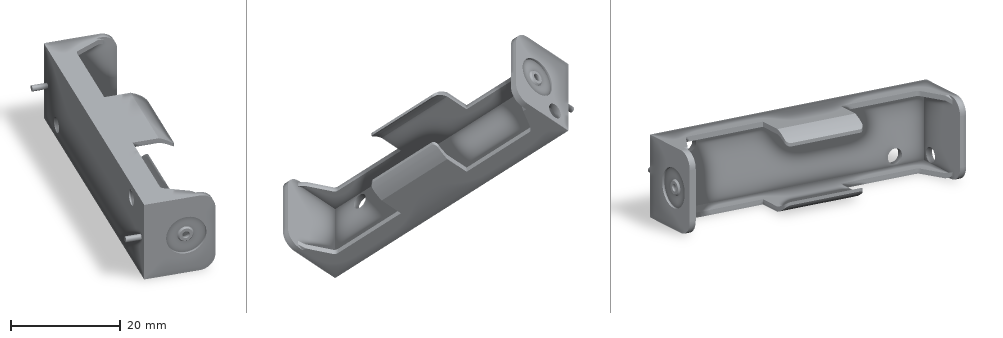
import cadquery as cq
import math

length = 59.7
depth = 13.7
height = 16.0
end_wall = 1.3
side_wall = 1.0
floor = 1.3
end_corner_radius = 3.0

low_wall_y = 4.7
gusset_base_length = 4.75
gusset_top_y = 11.1
gusset_root_radius = 1.0
clip_width = 16.8
clip_top_y = 12.9
clip_corner_radius = 0.9

axis_y = 8.1
outer_curl_center_y = 6.9
curl_start_y = 9.75

mount_hole_diameter = 3.05
mount_hole_x = 22.25
mount_hole_z = 5.15
end_hole_diameter = 3.05
end_hole_y = 3.5
end_hole_z = -5.4
recess_diameter = 7.75
recess_depth = 0.5

rivet_diameter = 3.15
rivet_tip_diameter = 2.6
rivet_bore_diameter = 1.45
rivet_bore_depth = 1.0
rivet_tip_inset = 0.15
pin_diameter = 1.15
pin_length = 3.0
pin_x = 27.85

half_length = length / 2
half_height = height / 2
end_sides = (-1, 1)


def curled_section(half_width, curl_center_y, x_length):
    """Section with flat sides that curl inward in an arc, extruded along X about x = 0."""
    radius = math.hypot(half_width, curl_start_y - curl_center_y)
    return (
        cq.Workplane("YZ")
        .moveTo(0, -half_width)
        .lineTo(curl_start_y, -half_width)
        .threePointArc((curl_center_y + radius, 0), (curl_start_y, half_width))
        .lineTo(0, half_width)
        .close()
        .extrude(x_length / 2, both=True)
    )


def side_outline():
    """Side wall shape in the XY plane, extruded through the full height."""
    low_walls = cq.Workplane("XY").rect(length, 2 * low_wall_y).extrude(half_height, both=True)
    clip = (
        cq.Workplane("XY")
        .rect(clip_width, 2 * clip_top_y)
        .extrude(half_height, both=True)
        .edges("|Z and >Y")
        .fillet(clip_corner_radius)
    )
    outline = low_walls.union(clip)
    for side in end_sides:
        gusset = (
            cq.Workplane("XY")
            .moveTo(side * half_length, 0)
            .lineTo(side * half_length, gusset_top_y)
            .lineTo(side * (half_length - end_wall), gusset_top_y)
            .lineTo(side * (half_length - gusset_base_length), low_wall_y)
            .lineTo(side * (half_length - gusset_base_length), 0)
            .close()
            .extrude(half_height, both=True)
        )
        outline = outline.union(gusset)
    for side in end_sides:
        root_point = (side * (half_length - gusset_base_length), low_wall_y, 0)
        root = cq.selectors.NearestToPointSelector(root_point)
        outline = outline.edges("|Z").edges(root).fillet(gusset_root_radius)
    return outline


def end_plate(side):
    """End wall with its two front corners rounded."""
    return (
        cq.Workplane("XY")
        .box(end_wall, depth, height)
        .edges("|X and >Y")
        .fillet(end_corner_radius)
        .translate((side * (half_length - end_wall / 2), depth / 2, 0))
    )


def x_cylinder(diameter, y, z, side, inner_depth, outer_depth=0):
    """Cylinder along X between two depths measured inward from the outer face of one end."""
    return (
        cq.Workplane("YZ", origin=(side * (half_length - outer_depth), 0, 0))
        .center(y, z)
        .circle(diameter / 2)
        .extrude(-side * (inner_depth - outer_depth))
    )


def y_cylinder(diameter, x, z, start_y, end_y):
    """Cylinder parallel to Y between two depths."""
    return (
        cq.Workplane("XZ", origin=(x, start_y, z))
        .circle(diameter / 2)
        .extrude(start_y - end_y)
    )


def make_housing():
    """Open tray with end plates, gussets, curled clip and all holes."""
    body = curled_section(half_height, outer_curl_center_y, length).intersect(side_outline())
    cavity = curled_section(half_height - side_wall, axis_y, length - 2 * end_wall)
    below_floor = cq.Workplane("XY").rect(length, 2 * floor).extrude(half_height, both=True)
    body = body.cut(cavity.cut(below_floor))
    for side in end_sides:
        body = body.union(end_plate(side))
    for side in end_sides:
        body = body.cut(x_cylinder(recess_diameter, axis_y, 0, side, recess_depth))
        body = body.cut(x_cylinder(rivet_diameter, axis_y, 0, side, end_wall))
        body = body.cut(y_cylinder(mount_hole_diameter, side * mount_hole_x, side * mount_hole_z, 0, floor))
        body = body.cut(y_cylinder(pin_diameter, side * pin_x, 0, 0, floor))
    return body.cut(x_cylinder(end_hole_diameter, end_hole_y, end_hole_z, -1, end_wall))


def make_rivet(side):
    """Rivet filling the end wall, with a tapered tip and a blind bore at its outer end."""
    taper = (rivet_diameter - rivet_tip_diameter) / 2
    rivet = x_cylinder(rivet_diameter, axis_y, 0, side, end_wall, rivet_tip_inset)
    tip_face = ">X" if side > 0 else "<X"
    rivet = rivet.faces(tip_face).chamfer(recess_depth - rivet_tip_inset, taper)
    return rivet.cut(x_cylinder(rivet_bore_diameter, axis_y, 0, side, rivet_bore_depth))


def make_pin(side):
    """Terminal pin seated in the floor and standing out behind it."""
    return y_cylinder(pin_diameter, side * pin_x, 0, -pin_length, floor)


housing = make_housing()
rivets = [make_rivet(side) for side in end_sides]
pins = [make_pin(side) for side in end_sides]

result = cq.Compound.makeCompound([housing.val(), *[body.val() for body in rivets + pins]])